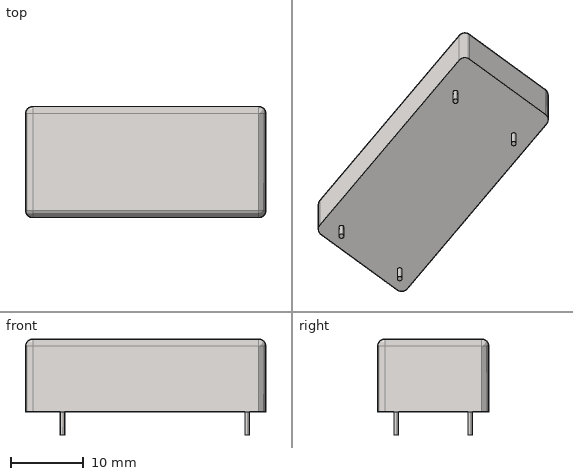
import cadquery as cq

LENGTH = 33.02
WIDTH = 15.3
TOTAL_HEIGHT = 13.2
HOUSING_HEIGHT = 10.0
EDGE_RADIUS = 1.0

PIN_DIAMETER = 0.65
PIN_LENGTH = TOTAL_HEIGHT - HOUSING_HEIGHT
PIN_SPACING_X = 25.4
PIN_SPACING_Y = 10.17
PIN_FIELD_OFFSET_X = 1.25


def make_housing():
    """Block with its base at Z = 0; every edge but the bottom ones is rounded."""
    block = cq.Workplane("XY").box(LENGTH, WIDTH, HOUSING_HEIGHT, centered=(True, True, False))
    return block.edges("|Z or >Z").fillet(EDGE_RADIUS)


def make_pin(x, y):
    """Round pin hanging from the underside of the housing."""
    return cq.Workplane("XY").center(x, y).circle(PIN_DIAMETER / 2).extrude(-PIN_LENGTH)


housing = make_housing()

pins = []
for side_x in (-1, 1):
    for side_y in (-1, 1):
        pin_x = PIN_FIELD_OFFSET_X + side_x * PIN_SPACING_X / 2
        pin_y = side_y * PIN_SPACING_Y / 2
        pins.append(make_pin(pin_x, pin_y).val())

result = cq.Compound.makeCompound([housing.val(), *pins])